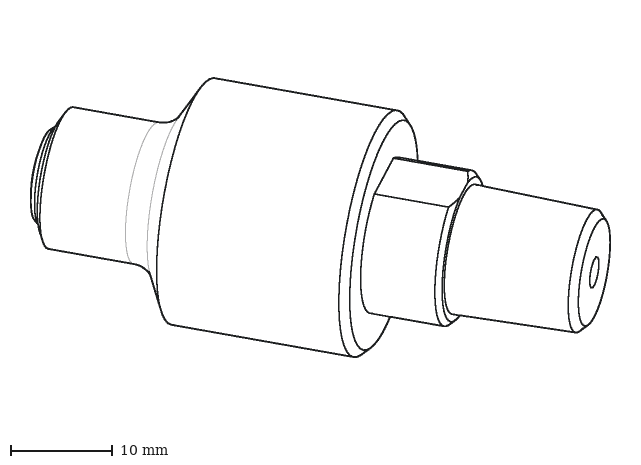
import cadquery as cq
import math

length = 56.85
bore_radius = 1.55

ring_inner_radius = 2.4
ring_outer_radius = 3.85
ring_protrusion = 0.4
spigot_radius = 5.0
spigot_chamfer_height = 0.4
spigot_chamfer_length = 0.5
spigot_end = 1.55

neck_radius = 14.15 / 2
neck_chamfer_height = 0.95
neck_chamfer_length = 0.55
flare_start = 10.85
flare_radius = 3.1
flare_angle = math.radians(60)

body_radius = 24.6 / 2
body_end = 35.25
body_chamfer = 0.85

collar_radius = 7.8
collar_end = 43.45
collar_chamfer = 0.55
flat_distance = 7.1

taper_start_radius = 6.5
taper_end_radius = 6.15
tail_chamfer = 0.8


def make_revolved_body():
    """Revolve the stepped outline, bore included, about the X axis."""
    flare_end = flare_start + flare_radius * math.sin(flare_angle)
    flare_end_radius = neck_radius + flare_radius * (1 - math.cos(flare_angle))
    flare_mid = (
        flare_start + flare_radius * math.sin(flare_angle / 2),
        neck_radius + flare_radius * (1 - math.cos(flare_angle / 2)),
    )
    cone_end = flare_end + (body_radius - flare_end_radius) / math.tan(flare_angle)
    ring_crest = (0, (ring_inner_radius + ring_outer_radius) / 2)

    outline = (
        cq.Workplane("XY")
        .moveTo(ring_protrusion, bore_radius)
        .lineTo(ring_protrusion, ring_inner_radius)
        .threePointArc(ring_crest, (ring_protrusion, ring_outer_radius))
        .lineTo(ring_protrusion, spigot_radius - spigot_chamfer_height)
        .lineTo(ring_protrusion + spigot_chamfer_length, spigot_radius)
        .lineTo(spigot_end, spigot_radius)
        .lineTo(spigot_end, neck_radius - neck_chamfer_height)
        .lineTo(spigot_end + neck_chamfer_length, neck_radius)
        .lineTo(flare_start, neck_radius)
        .threePointArc(flare_mid, (flare_end, flare_end_radius))
        .lineTo(cone_end, body_radius)
        .lineTo(body_end - body_chamfer, body_radius)
        .lineTo(body_end, body_radius - body_chamfer)
        .lineTo(body_end, collar_radius)
        .lineTo(collar_end - collar_chamfer, collar_radius)
        .lineTo(collar_end, collar_radius - collar_chamfer)
        .lineTo(collar_end, taper_start_radius)
        .lineTo(length - tail_chamfer, taper_end_radius)
        .lineTo(length, taper_end_radius - tail_chamfer)
        .lineTo(length, bore_radius)
        .close()
    )
    return outline.revolve(360, (0, 0, 0), (1, 0, 0))


def make_flat_cutter(side):
    """Block that removes the collar beyond one flat; side is +1 (top) or -1."""
    collar_length = collar_end - body_end
    depth = collar_radius - flat_distance
    return cq.Workplane("XY").box(collar_length, 2 * collar_radius, depth).translate(
        (body_end + collar_length / 2, 0, side * (flat_distance + depth / 2))
    )


result = make_revolved_body()
for side in (1, -1):
    result = result.cut(make_flat_cutter(side))